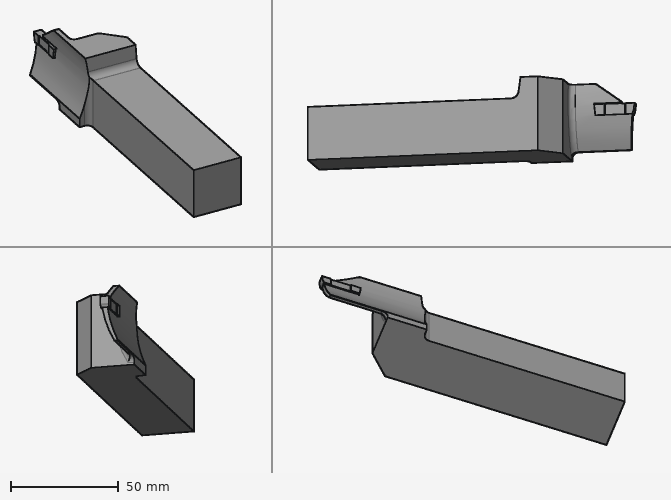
import cadquery as cq

total_length = 150.0
shank_size = 25.0

head_height = 35.0
head_front = 31.0
head_back = 50.4
head_back_top = 49.0
head_overhang = 5.4
head_chamfer = 9.8
shank_top_fillet = 3.6
shank_side_fillet = 2.8

blade_near_radius = 49.5
blade_near_axis_z = 25.5
blade_near_y = -0.8
blade_thickness = 2.7
blade_far_radius = 45.0
blade_far_axis_z = 26.2
blade_far_y = blade_near_y + blade_thickness
blade_bottom = 4.0
blade_bottom_x = 2.8
blade_seat_x = 1.2
blade_fillet = 2.8
jaw_tip_x = 6.5
jaw_tip_height = 0.6
jaw_top_x = 18.6

insert_top = shank_size
insert_bottom = 20.0
insert_break_x = 0.5
insert_break_z = 21.5
insert_relief = 1.0
insert_length = 19.2
insert_back_bottom_x = 18.6
insert_end_width = 4.0
insert_waist_width = 3.3
insert_mid_y = 0.2
tip_length = 4.2
waist_end = 14.4
waist_taper = 0.5
jaw_gap = 0.5
jaw_z = insert_top + jaw_gap


def cylinder_along_x(radius, crest_y, axis_z):
    """Full-length cylinder whose +Y crest lies at crest_y."""
    return (
        cq.Workplane("YZ")
        .center(crest_y - radius, axis_z)
        .circle(radius)
        .extrude(total_length)
    )


def extrude_side_profile(points, y_min, y_max):
    """Extrude an XZ outline between two Y positions."""
    return (
        cq.Workplane("XZ", origin=(0, y_max, 0))
        .polyline(points)
        .close()
        .extrude(y_max - y_min)
    )


def extrude_plan_profile(points, z_min, z_max):
    """Extrude an XY outline between two Z positions."""
    return (
        cq.Workplane("XY", origin=(0, 0, z_min))
        .polyline(points)
        .close()
        .extrude(z_max - z_min)
    )


def make_head_and_shank():
    """Common volume of the side profile and the plan profile, each with its own shank fillet."""
    side = extrude_side_profile(
        [
            (head_front, 0),
            (total_length, 0),
            (total_length, shank_size),
            (head_back, shank_size),
            (head_back_top, head_height),
            (head_front, head_height),
        ],
        -head_overhang,
        shank_size,
    )
    top_corner = cq.selectors.NearestToPointSelector((head_back, shank_size / 2, shank_size))
    side = side.edges("|Y").edges(top_corner).fillet(shank_top_fillet)
    plan = extrude_plan_profile(
        [
            (head_front, -head_overhang),
            (head_back, -head_overhang),
            (head_back, 0),
            (total_length, 0),
            (total_length, shank_size),
            (head_front + head_chamfer, shank_size),
            (head_front, shank_size - head_chamfer),
        ],
        0,
        head_height,
    )
    side_corner = cq.selectors.NearestToPointSelector((head_back, 0, head_height / 2))
    plan = plan.edges("|Z").edges(side_corner).fillet(shank_side_fillet)
    return side.intersect(plan)


def make_blade():
    outline = extrude_side_profile(
        [
            (blade_bottom_x, blade_bottom),
            (head_back_top, blade_bottom),
            (head_back_top, head_height),
            (jaw_top_x, head_height),
            (jaw_tip_x, jaw_z + jaw_tip_height),
            (jaw_tip_x, jaw_z),
            (blade_seat_x, jaw_z),
            (blade_seat_x, insert_bottom),
        ],
        -head_overhang,
        shank_size,
    )
    return outline.intersect(cylinder_along_x(blade_far_radius, blade_far_y, blade_far_axis_z))


def make_insert():
    side = extrude_side_profile(
        [
            (0, insert_top),
            (insert_break_x, insert_break_z),
            (insert_relief, insert_bottom),
            (insert_back_bottom_x, insert_bottom),
            (insert_length, insert_top),
        ],
        insert_mid_y - insert_end_width,
        insert_mid_y + insert_end_width,
    )
    half_end = insert_end_width / 2
    half_waist = insert_waist_width / 2
    half_outline = [
        (0, half_end),
        (tip_length, half_end),
        (tip_length + waist_taper, half_waist),
        (waist_end - waist_taper, half_waist),
        (waist_end, half_end),
        (insert_length, half_end),
    ]
    mirrored = [(x, -y) for x, y in reversed(half_outline)]
    placed = [(x, y + insert_mid_y) for x, y in half_outline + mirrored]
    plan = extrude_plan_profile(placed, insert_bottom, insert_top)
    return plan.intersect(side)


def make_seat():
    """Through slot for the insert, with the clearance gap under the jaw."""
    return extrude_side_profile(
        [
            (0, insert_bottom),
            (insert_back_bottom_x, insert_bottom),
            (insert_length, insert_top),
            (insert_length, jaw_z),
            (0, jaw_z),
        ],
        -head_overhang,
        head_overhang,
    )


def make_holder():
    holder = make_head_and_shank().union(make_blade())
    margin = 0.2
    wall = cq.selectors.BoxSelector(
        (head_front - margin, -head_overhang, blade_bottom - margin),
        (head_front + margin, blade_far_y + margin, head_height),
    )
    root = holder.edges(wall).edges("not |Z")
    holder = root.fillet(blade_fillet)
    near_face = cylinder_along_x(blade_near_radius, blade_near_y, blade_near_axis_z)
    return holder.cut(near_face).cut(make_seat())


holder = make_holder()
insert = make_insert()

result = cq.Compound.makeCompound([holder.val(), insert.val()])